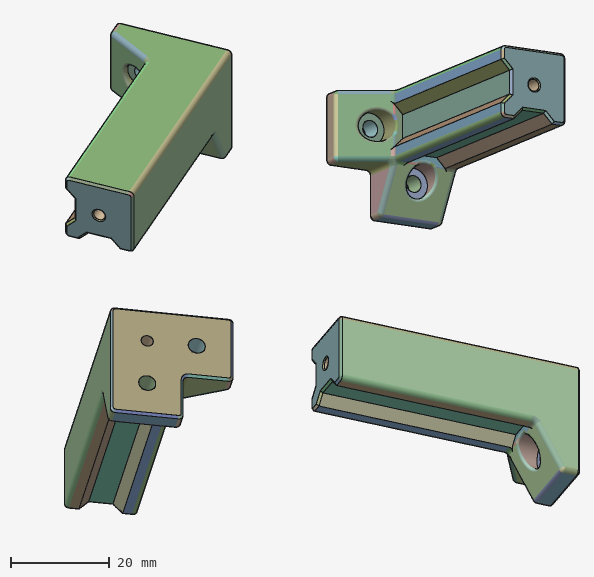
import cadquery as cq
import math

length = 53.0
overall = 25.3
bar = 15.0
arm = overall - bar
arm_tip = 4.0
arm_slope = 30.0
edge_round = 1.0
end_chamfer = 0.5

groove_mouth = 9.0
groove_depth = 2.0
groove_stop = 9.95

pilot_diameter = 2.5
pilot_chamfer = 0.25
screw_diameter = 3.5
screw_offset = 2.7
head_diameter = 6.5
head_floor = 5.0
head_round = 0.5

margin = 0.05

middle = bar / 2
arm_root = arm_tip + arm * math.tan(math.radians(arm_slope))


def swap_sides(shape):
    """Mirror about the plane x = z, turning the -X arm's features into the -Z arm's."""
    return shape.rotate((0, 0, 0), (0, 1, 0), -90).mirror("YZ")


def make_bar():
    return cq.Workplane("XY").box(bar, length, bar, centered=False).translate((0, -length, 0))


def make_arm():
    """Wedge-shaped arm on the -X side, with its back at y = 0."""
    outline = [(0, 0), (-arm, 0), (-arm, -arm_tip), (0, -arm_root), (middle, -arm_root), (middle, 0)]
    return cq.Workplane("XY").polyline(outline).close().extrude(bar)


def make_arm_core():
    """Arm wedge carried on to the groove's end wall, with the edge between slope and wall rounded."""
    wall_start = (groove_stop - arm_root) / math.tan(math.radians(arm_slope))
    outline = [
        (-arm, 0),
        (-arm, -arm_tip),
        (wall_start, -groove_stop),
        (middle, -groove_stop),
        (middle, 0),
    ]
    core = cq.Workplane("XY").polyline(outline).close().extrude(bar)
    slope_end = cq.selectors.NearestToPointSelector((wall_start, -groove_stop, middle))
    return core.edges("|Z").edges(slope_end).fillet(edge_round)


def make_groove():
    """Groove with 45 degree flanks along the bar's -X side, ending against the arm."""
    floor_half = groove_mouth / 2 - groove_depth
    outer_half = groove_mouth / 2 + edge_round
    outline = [
        (-edge_round, middle - outer_half),
        (groove_depth, middle - floor_half),
        (groove_depth, middle + floor_half),
        (-edge_round, middle + outer_half),
    ]
    groove = cq.Workplane("XZ").polyline(outline).close().extrude(length)
    return groove.cut(make_arm_core())


def make_screw_hole():
    """Through hole and screw-head bore in the -X arm."""
    through = (
        cq.Workplane("XZ")
        .center(-screw_offset, middle)
        .circle(screw_diameter / 2)
        .extrude(arm_root)
    )
    head = (
        cq.Workplane("XZ", origin=(0, -head_floor, 0))
        .center(-screw_offset, middle)
        .circle(head_diameter / 2)
        .extrude(arm_root)
    )
    return through.union(head)


def round_head_rims(target):
    """Round the rims where the screw-head bores open onto the arms and groove walls."""
    reach = head_diameter / 2 + margin
    rim_start = -groove_stop - margin
    rim_end = -head_floor - margin
    for x, z in ((-screw_offset, middle), (middle, -screw_offset)):
        rim = cq.selectors.BoxSelector(
            (x - reach, rim_start, z - reach),
            (x + reach, rim_end, z + reach),
            boundingbox=True,
        )
        target = target.edges(rim).fillet(head_round)
    return target


def make_pilot_hole():
    """Hole through the bar, chamfered at its -Y mouth."""
    radius = pilot_diameter / 2
    outline = [
        (0, 0),
        (radius, 0),
        (radius, -length + pilot_chamfer),
        (radius + pilot_chamfer, -length),
        (0, -length),
    ]
    hole = cq.Workplane("XY").polyline(outline).close().revolve(360, (0, 0, 0), (0, 1, 0))
    return hole.translate((middle, 0, middle))


def cut_both(target, cutter):
    """Cut a feature of the -X side together with its twin on the -Z side."""
    return target.cut(cutter).cut(swap_sides(cutter))


body = make_bar().union(make_arm()).union(swap_sides(make_arm())).clean()
body = body.edges("not (<Y or >Y)").fillet(edge_round)
body = cut_both(body, make_groove())
body = body.faces("<Y or >Y").edges().chamfer(end_chamfer)
body = cut_both(body, make_screw_hole())
body = round_head_rims(body)
result = body.cut(make_pilot_hole())